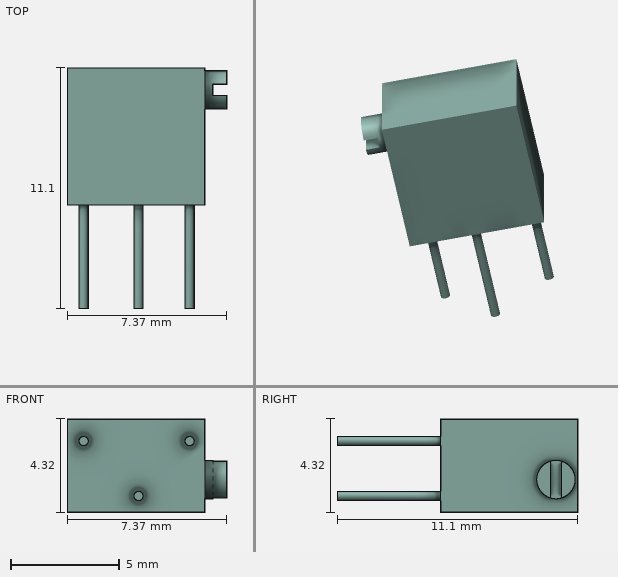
import cadquery as cq

body_width = 6.35
body_depth = 6.35
body_height = 4.32

pin_diameter = 0.43
pin_length = 4.78
pin_pitch = 2.54
first_pin_x = 0.75
last_pin_x = 5.65
lower_pin_z = 0.76

screw_diameter = 1.78
screw_length = 1.02
screw_back_inset = 1.02
screw_z = 1.52
slot_width = 0.51
slot_depth = 0.64

upper_pin_z = lower_pin_z + pin_pitch
pin_centres = [
    (first_pin_x, upper_pin_z),
    (first_pin_x + pin_pitch, lower_pin_z),
    (last_pin_x, upper_pin_z),
]


def make_body():
    """Plain block with its front left bottom corner at the origin."""
    return cq.Workplane("XY").box(body_width, body_depth, body_height, centered=False)


def make_pins():
    """Leads running from the front face toward -Y."""
    return cq.Workplane("XZ").pushPoints(pin_centres).circle(pin_diameter / 2).extrude(pin_length)


def make_screw():
    """Screw head toward +X, with a driver slot running along Z across its end."""
    screw_y = body_depth - screw_back_inset
    head = (
        cq.Workplane("YZ", origin=(body_width, screw_y, screw_z))
        .circle(screw_diameter / 2)
        .extrude(screw_length)
    )
    slot_floor_x = body_width + screw_length - slot_depth
    slot = (
        cq.Workplane("YZ", origin=(slot_floor_x, screw_y, screw_z))
        .rect(slot_width, screw_diameter)
        .extrude(slot_depth)
    )
    return head.cut(slot)


result = make_body().union(make_pins()).union(make_screw())